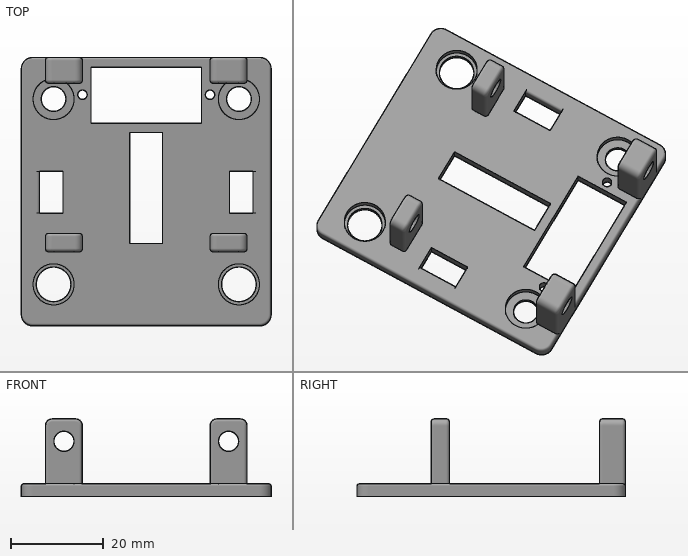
import cadquery as cq
import math

plate_width = 54.0
plate_length = 58.0
plate_thickness = 2.8
plate_corner_radius = 2.5
plate_edge_fillet = 0.5
rear_edge_y = plate_length / 2

screw_spacing = 40.0
rear_screw_diameter = 5.3
front_screw_diameter = 7.4
counterbore_diameter = 8.9
counterbore_depth = 1.75

pin_hole_diameter = 2.0
pin_hole_spacing = 27.55
pin_hole_y = 20.95

rear_window_width = 23.8
rear_window_length = 12.0
rear_window_y = 20.8
center_slot_width = 7.0
center_slot_length = 23.9
center_slot_y = 0.8
side_window_inner_x = 18.0
side_window_outer_x = 23.0
side_window_length = 9.0
side_window_y = -0.1
side_window_fillet = 0.5

lug_spacing = 35.55
lug_width = 8.0
lug_top_z = 16.8
rear_lug_depth = 5.6
front_lug_depth = 4.0
front_lug_rear_y = -9.0
lug_corner_radius = 1.5
lug_edge_fillet = 0.7
lug_hole_diameter = 4.3
lug_hole_z = 11.95


def make_plate():
    """Rounded plate with its top rim filleted."""
    plate = cq.Workplane("XY").box(plate_width, plate_length, plate_thickness, centered=(True, True, False))
    plate = plate.edges("|Z").fillet(plate_corner_radius)
    return plate.faces(">Z").edges().fillet(plate_edge_fillet)


def make_lug(center_x, rear_y, depth):
    """Lug with rounded top corners and filleted front and rear faces, rooted below the plate's top rim."""
    root_z = plate_thickness - plate_edge_fillet
    height = lug_top_z - root_z
    lug = (
        cq.Workplane("XY")
        .box(lug_width, depth, height, centered=(True, False, False))
        .translate((center_x, rear_y - depth, root_z))
    )
    lug = lug.edges("|Y and >Z").fillet(lug_corner_radius)
    lug = lug.edges("(<Y or >Y) and (not <Z)").fillet(lug_edge_fillet)
    hole = (
        cq.Workplane("XZ", origin=(center_x, rear_y, lug_hole_z))
        .circle(lug_hole_diameter / 2)
        .extrude(depth)
    )
    return lug.cut(hole)


def make_window(center_x, center_y, width, length):
    """Rectangular cutter through the plate."""
    return (
        cq.Workplane("XY")
        .box(width, length, plate_thickness, centered=(True, True, False))
        .translate((center_x, center_y, 0))
    )


def make_side_window(side):
    """Cutter whose outer wall is rounded over at the top of the plate; side is -1 or +1."""
    tangent_z = plate_thickness - side_window_fillet
    outer_x = side * side_window_outer_x
    rim_x = side * (side_window_outer_x + side_window_fillet)
    inner_x = side * side_window_inner_x
    arc_offset = side_window_fillet * (1 - math.cos(math.pi / 4))
    return (
        cq.Workplane("XZ", origin=(0, side_window_y + side_window_length / 2, 0))
        .moveTo(inner_x, 0)
        .lineTo(outer_x, 0)
        .lineTo(outer_x, tangent_z)
        .threePointArc((outer_x + side * arc_offset, plate_thickness - arc_offset), (rim_x, plate_thickness))
        .lineTo(inner_x, plate_thickness)
        .close()
        .extrude(side_window_length)
    )


def make_hole(center_x, center_y, diameter, floor_z=0):
    """Round cutter from floor_z up to the plate's top face."""
    return (
        cq.Workplane("XY", origin=(center_x, center_y, floor_z))
        .circle(diameter / 2)
        .extrude(plate_thickness - floor_z)
    )


result = make_plate()
for side in (-1, 1):
    lug_x = side * lug_spacing / 2
    result = result.union(make_lug(lug_x, rear_edge_y, rear_lug_depth))
    result = result.union(make_lug(lug_x, front_lug_rear_y, front_lug_depth))

result = result.cut(make_window(0, rear_window_y, rear_window_width, rear_window_length))
result = result.cut(make_window(0, center_slot_y, center_slot_width, center_slot_length))
counterbore_floor_z = plate_thickness - counterbore_depth
for side in (-1, 1):
    result = result.cut(make_side_window(side))
    result = result.cut(make_hole(side * pin_hole_spacing / 2, pin_hole_y, pin_hole_diameter))
    for end, diameter in ((-1, front_screw_diameter), (1, rear_screw_diameter)):
        screw_x = side * screw_spacing / 2
        screw_y = end * screw_spacing / 2
        result = result.cut(make_hole(screw_x, screw_y, diameter))
        result = result.cut(make_hole(screw_x, screw_y, counterbore_diameter, counterbore_floor_z))